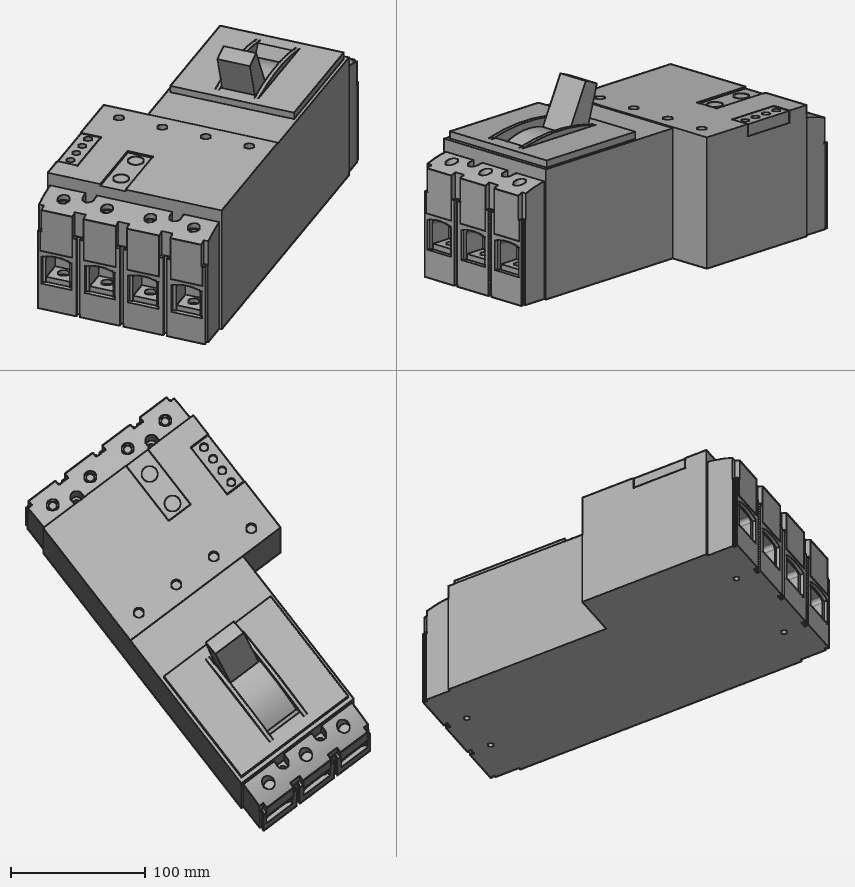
import cadquery as cq
import math

LENGTH = 291.8
HEIGHT = 142.0
WIDE_WIDTH = 140.5
POLE_PITCH = 35.0
POLE_COUNT = 4
HALF_LENGTH = LENGTH / 2
RIGHT_SIDE = WIDE_WIDTH / 2
FRONT_POLES = [(i - (POLE_COUNT - 1) / 2) * POLE_PITCH for i in range(POLE_COUNT)]
BACK_POLES = FRONT_POLES[1:]
BREAKER_X = FRONT_POLES[2]

WIDE_TOP = 102.7
NARROW_TOP = 101.8
NARROW_LEFT = BACK_POLES[0] - POLE_PITCH / 2
WIDE_FRONT = -120.5
BODY_SPLIT = -13.7
NARROW_BACK = 122.0

PANEL_RISE = 0.3
BLOCK_FACE = HALF_LENGTH - PANEL_RISE
BLOCK_SIDE_GAP = 1.8
BLOCK_TOP = 92.8
BLOCK_ARC_RADIUS = 87.5
BLOCK_ROOT = 111.0
BARRIER_STEP_Z = 66.8
BARRIER_TOP_WIDTH = 8.8
BARRIER_TOP_DEPTH = 4.0
BARRIER_MOUTH_WIDTH = 3.0
BARRIER_MOUTH_DEPTH = 1.8
BARRIER_SLOT_WIDTH = 4.7
BARRIER_SLOT_DEPTH = 3.5
BARRIER_END_SHIFT = 1.2

PANEL_WIDTH = 25.7
PANEL_BOTTOM_Z = 50.2
FRAME_WIDTH = 24.5
FRAME_BOTTOM_Z = 22.0
FRAME_SHOULDER_Z = 45.0
FRAME_ARCH_RISE = 2.3
FRAME_DEPTH = 3.0
CAVITY_WIDTH = 19.3
CAVITY_FLOOR_Z = 26.3
CAVITY_TOP_Z = 45.5
CAVITY_CORNER = 3.5
CAVITY_DEPTH = 20.5
TERMINAL_SETBACK = 1.0
STUD_HOLE_DIAMETER = 8.5
STUD_HOLE_DEPTH = 3.5

WELL_Y = 132.0
WELL_DIAMETER = 9.0
WELL_FLOOR_Z = 87.0
WELL_SOCKET_DIAMETER = 6.0
WELL_SOCKET_DEPTH = 2.3
BACK_WELL_TILT = 17.0
BACK_WELL_DEPTH = 5.8
BACK_WELL_CLEARANCE = 4.5
FRONT_MOUNTS = (-POLE_PITCH, POLE_PITCH)
BACK_MOUNTS = (0.0, POLE_PITCH)
MOUNT_DIAMETER = 4.5
MOUNT_NOTCH_WIDTH = 9.0
MOUNT_NOTCH_FLOOR_Z = BARRIER_STEP_Z
FRONT_MOUNT_Y = 125.8
BACK_MOUNT_Y = 126.6

COVER_HOLE_DIAMETER = 7.5
COVER_HOLE_Y = -26.5
COVER_HOLE_DEPTH = 5.8
STRIP_WIDTH = 16.3
STRIP_LENGTH = 43.8
STRIP_CENTER_Y = -80.0
STRIP_DEPTH = 9.5
STRIP_GAP = 0.5
STRIP_INSET = 0.3
STRIP_HOLE_X = -62.0
STRIP_HOLE_DIAMETER = 6.0
STRIP_HOLE_PITCH = 11.0
STRIP_HOLE_COUNT = 4
STRIP_HOLE_DEPTH = 4.5
LABEL_WIDTH = 20.5
LABEL_BACK = -68.3
LABEL_DEPTH = 1.5
BUTTON_DIAMETER = 12.0
BUTTON_RISE = 0.3
BUTTON_YS = (-77.0, -105.0)

PLATE_WIDTH = 99.8
PLATE_BACK = 118.5
PLATE_FRONT = 23.5
PLATE_TOP = 107.5
PIVOT_Y = 71.5
RAIL_LENGTH = 78.2
RAIL_RISE = 4.7
RAIL_SPAN = 35.0
RAIL_THICKNESS = 3.2
DRUM_POCKET_LENGTH = 69.5
DRUM_CHORD = 60.5
DRUM_FOOT_Z = 97.8
DRUM_RISE = 8.8
HANDLE_WIDTH = 26.3
HANDLE_BACK_FOOT = (59.5, 99.8)
HANDLE_TIP_BACK = (38.5, HEIGHT)
HANDLE_TIP_FRONT = (26.5, 137.5)
HANDLE_FRONT_FOOT = (37.5, 101.0)


def box(x_range, y_range, z_range):
    """Axis-aligned box from its limits along X, Y and Z."""
    size = [high - low for low, high in (x_range, y_range, z_range)]
    corner = (x_range[0], y_range[0], z_range[0])
    return cq.Workplane("XY").box(*size, centered=False).translate(corner)


def centered(middle, width):
    """Limits of a span of the given width around its middle."""
    return middle - width / 2, middle + width / 2


def bore(x, y, top, depth, diameter):
    """Vertical cylinder reaching down from the given height."""
    return cq.Workplane("XY", origin=(x, y, top - depth)).circle(diameter / 2).extrude(depth)


def extrude_along_x(profile, x_range):
    """Extrude a closed YZ sketch between two X positions."""
    return profile.extrude(x_range[1] - x_range[0]).translate((x_range[0], 0, 0))


def arc_top_z(y):
    """Height of the rounded block top, which is level at the buried root."""
    run = y - BLOCK_ROOT
    return BLOCK_TOP - BLOCK_ARC_RADIUS + math.sqrt(BLOCK_ARC_RADIUS**2 - run**2)


def block_body(x_range):
    middle_y = (BLOCK_ROOT + BLOCK_FACE) / 2
    profile = (
        cq.Workplane("YZ")
        .moveTo(BLOCK_ROOT, 0)
        .lineTo(BLOCK_FACE, 0)
        .lineTo(BLOCK_FACE, arc_top_z(BLOCK_FACE))
        .threePointArc((middle_y, arc_top_z(middle_y)), (BLOCK_ROOT, BLOCK_TOP))
        .close()
    )
    return extrude_along_x(profile, x_range)


def pole_panel(x):
    """Thin upright panel standing proud of the block face above its opening."""
    profile = cq.Workplane("YZ").polyline([
        (HALF_LENGTH, arc_top_z(HALF_LENGTH)),
        (HALF_LENGTH, PANEL_BOTTOM_Z),
        (BLOCK_FACE - PANEL_RISE, PANEL_BOTTOM_Z),
        (BLOCK_FACE - PANEL_RISE, arc_top_z(BLOCK_FACE)),
    ]).close()
    return extrude_along_x(profile, centered(x, PANEL_WIDTH))


def barrier_groove(x):
    """T-slot for a phase barrier, opening into a wide pocket at the top."""
    neck_end = BLOCK_FACE - BARRIER_MOUTH_DEPTH
    mouth = box(centered(x, BARRIER_MOUTH_WIDTH), (neck_end, HALF_LENGTH), (0, BLOCK_TOP))
    slot = box(
        centered(x, BARRIER_SLOT_WIDTH), (BLOCK_FACE - BARRIER_SLOT_DEPTH, neck_end), (0, BLOCK_TOP)
    )
    pocket = box(
        centered(x, BARRIER_TOP_WIDTH),
        (BLOCK_FACE - BARRIER_TOP_DEPTH, HALF_LENGTH),
        (BARRIER_STEP_Z, BLOCK_TOP),
    )
    return mouth.union(slot).union(pocket)


def terminal_opening(x):
    """Arched shallow frame around a deep cavity with a stud hole in its floor."""
    half_frame = FRAME_WIDTH / 2
    frame = (
        cq.Workplane("XZ", origin=(x, HALF_LENGTH, 0))
        .moveTo(-half_frame, FRAME_BOTTOM_Z)
        .lineTo(half_frame, FRAME_BOTTOM_Z)
        .lineTo(half_frame, FRAME_SHOULDER_Z)
        .threePointArc((0, FRAME_SHOULDER_Z + FRAME_ARCH_RISE), (-half_frame, FRAME_SHOULDER_Z))
        .close()
        .extrude(HALF_LENGTH - BLOCK_FACE + FRAME_DEPTH)
    )
    cavity = box(
        centered(x, CAVITY_WIDTH),
        (BLOCK_FACE - CAVITY_DEPTH, BLOCK_FACE),
        (CAVITY_FLOOR_Z, CAVITY_TOP_Z),
    ).edges("|Y and >Z").fillet(CAVITY_CORNER)
    terminal_front = BLOCK_FACE - FRAME_DEPTH - TERMINAL_SETBACK
    setback = box(
        centered(x, CAVITY_WIDTH), (terminal_front, BLOCK_FACE), (FRAME_BOTTOM_Z, CAVITY_FLOOR_Z)
    )
    stud_hole = bore(x, WELL_Y, CAVITY_FLOOR_Z, STUD_HOLE_DEPTH, STUD_HOLE_DIAMETER)
    return frame.union(cavity).union(setback).union(stud_hole)


def mounting_hole(x, y):
    """Through hole in the floor of a round-ended notch against the body."""
    notch_depth = BLOCK_TOP - MOUNT_NOTCH_FLOOR_Z
    notch = box(
        centered(x, MOUNT_NOTCH_WIDTH), (BLOCK_ROOT, y), (MOUNT_NOTCH_FLOOR_Z, BLOCK_TOP)
    ).union(bore(x, y, BLOCK_TOP, notch_depth, MOUNT_NOTCH_WIDTH))
    return notch.union(bore(x, y, BLOCK_TOP, BLOCK_TOP, MOUNT_DIAMETER))


def upright_well(x):
    """Vertical screw well with a smaller socket in its floor."""
    well = bore(x, WELL_Y, BLOCK_TOP, BLOCK_TOP - WELL_FLOOR_Z, WELL_DIAMETER)
    return well.union(bore(x, WELL_Y, WELL_FLOOR_Z, WELL_SOCKET_DEPTH, WELL_SOCKET_DIAMETER))


def tilted_well(x):
    """Screw well that leans outward as it goes down."""
    mouth = (x, WELL_Y, arc_top_z(WELL_Y))
    return (
        cq.Workplane("XY")
        .circle(WELL_DIAMETER / 2)
        .extrude(BACK_WELL_DEPTH + BACK_WELL_CLEARANCE)
        .translate((0, 0, -BACK_WELL_DEPTH))
        .rotate((0, 0, 0), (1, 0, 0), BACK_WELL_TILT)
        .translate(mouth)
    )


def terminal_block(poles, mounts, mount_y, well):
    left = poles[0] - POLE_PITCH / 2
    right = poles[-1] + POLE_PITCH / 2
    block = block_body((left + BLOCK_SIDE_GAP, right - BLOCK_SIDE_GAP))
    grooves = [x + POLE_PITCH / 2 for x in poles[:-1]]
    grooves += [left + BARRIER_END_SHIFT, right - BARRIER_END_SHIFT]
    for x in poles:
        block = block.union(pole_panel(x))
    for x in grooves:
        block = block.cut(barrier_groove(x))
    for x in poles:
        block = block.cut(terminal_opening(x)).cut(well(x))
    for x in mounts:
        block = block.cut(mounting_hole(x, mount_y))
    return block


def wide_body():
    body = box((-RIGHT_SIDE, RIGHT_SIDE), (WIDE_FRONT, BODY_SPLIT), (0, WIDE_TOP))
    for x in FRONT_POLES:
        body = body.cut(bore(x, COVER_HOLE_Y, WIDE_TOP, COVER_HOLE_DEPTH, COVER_HOLE_DIAMETER))
    return signal_strip(label_recess(body))


def signal_strip(body):
    """Small terminal strip in the left edge, slightly inset, with a thin gap at each end."""
    strip_x = (-RIGHT_SIDE, -RIGHT_SIDE + STRIP_WIDTH)
    strip_y = centered(STRIP_CENTER_Y, STRIP_LENGTH)
    strip_z = (WIDE_TOP - STRIP_DEPTH, WIDE_TOP)
    body = body.cut(box(strip_x, strip_y, (WIDE_TOP - STRIP_INSET, WIDE_TOP)))
    body = body.cut(box((-RIGHT_SIDE, -RIGHT_SIDE + STRIP_INSET), strip_y, strip_z))
    for side in (-1, 1):
        gap_y = STRIP_CENTER_Y + side * (STRIP_LENGTH + STRIP_GAP) / 2
        body = body.cut(box(strip_x, centered(gap_y, STRIP_GAP), strip_z))
    for i in range(STRIP_HOLE_COUNT):
        y = STRIP_CENTER_Y + (i - (STRIP_HOLE_COUNT - 1) / 2) * STRIP_HOLE_PITCH
        body = body.cut(bore(STRIP_HOLE_X, y, WIDE_TOP, STRIP_HOLE_DEPTH, STRIP_HOLE_DIAMETER))
    return body


def label_recess(body):
    """Shallow recess, open at the front, with two low round buttons."""
    x = FRONT_POLES[1]
    floor = WIDE_TOP - LABEL_DEPTH
    body = body.cut(box(centered(x, LABEL_WIDTH), (WIDE_FRONT, LABEL_BACK), (floor, WIDE_TOP)))
    for y in BUTTON_YS:
        body = body.union(bore(x, y, floor + BUTTON_RISE, 2 * BUTTON_RISE, BUTTON_DIAMETER))
    return body


def guard_rail(x):
    half = RAIL_LENGTH / 2
    profile = (
        cq.Workplane("YZ")
        .moveTo(PIVOT_Y - half, PLATE_TOP)
        .threePointArc((PIVOT_Y, PLATE_TOP + RAIL_RISE), (PIVOT_Y + half, PLATE_TOP))
        .close()
    )
    return extrude_along_x(profile, centered(x, RAIL_THICKNESS))


def drum_pocket():
    """Pocket with sloping end walls over a convex drum."""
    half_pocket = DRUM_POCKET_LENGTH / 2
    half_chord = DRUM_CHORD / 2
    profile = (
        cq.Workplane("YZ")
        .moveTo(PIVOT_Y - half_pocket, PLATE_TOP)
        .lineTo(PIVOT_Y - half_chord, DRUM_FOOT_Z)
        .threePointArc((PIVOT_Y, DRUM_FOOT_Z + DRUM_RISE), (PIVOT_Y + half_chord, DRUM_FOOT_Z))
        .lineTo(PIVOT_Y + half_pocket, PLATE_TOP)
        .close()
    )
    return extrude_along_x(profile, centered(BREAKER_X, RAIL_SPAN - 2 * RAIL_THICKNESS))


def handle():
    """Leaning handle whose tip is an arc about the drum axis."""
    drum_radius = ((DRUM_CHORD / 2) ** 2 + DRUM_RISE**2) / (2 * DRUM_RISE)
    axis_z = DRUM_FOOT_Z + DRUM_RISE - drum_radius
    tip_radius = math.hypot(HANDLE_TIP_BACK[0] - PIVOT_Y, HANDLE_TIP_BACK[1] - axis_z)
    profile = (
        cq.Workplane("YZ")
        .moveTo(*HANDLE_BACK_FOOT)
        .lineTo(*HANDLE_TIP_BACK)
        .radiusArc(HANDLE_TIP_FRONT, -tip_radius)
        .lineTo(*HANDLE_FRONT_FOOT)
        .close()
    )
    return extrude_along_x(profile, centered(BREAKER_X, HANDLE_WIDTH))


def breaker_body():
    body = box((NARROW_LEFT, RIGHT_SIDE), (BODY_SPLIT, NARROW_BACK), (0, NARROW_TOP))
    plate = box(centered(BREAKER_X, PLATE_WIDTH), (PLATE_FRONT, PLATE_BACK), (NARROW_TOP, PLATE_TOP))
    body = body.union(plate).cut(drum_pocket())
    for side in (-1, 1):
        body = body.union(guard_rail(BREAKER_X + side * (RAIL_SPAN - RAIL_THICKNESS) / 2))
    return body.union(handle())


front_block = terminal_block(FRONT_POLES, FRONT_MOUNTS, FRONT_MOUNT_Y, upright_well).mirror("XZ")
back_block = terminal_block(BACK_POLES, BACK_MOUNTS, BACK_MOUNT_Y, tilted_well)

result = wide_body().union(breaker_body()).union(front_block).union(back_block)